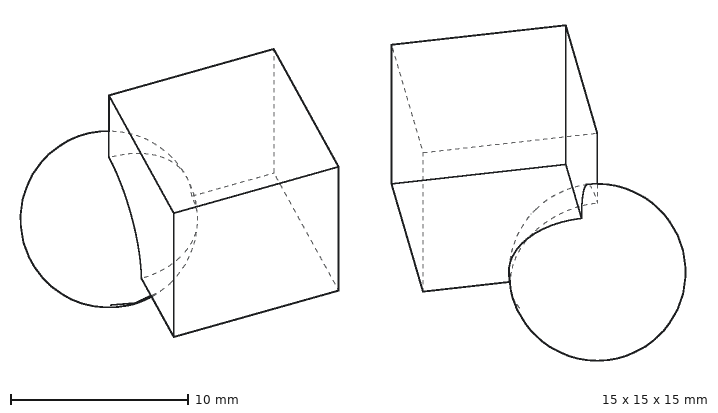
import cadquery as cq

block_side = 10.0
ball_radius = block_side / 2


def make_ball():
    """Whole ball, centred on the lowest corner of the block at the origin."""
    return cq.Workplane("XY").sphere(ball_radius)


def make_block():
    """Cube rising from the origin, with a spherical recess at that corner to seat the ball."""
    cube = cq.Workplane("XY").box(block_side, block_side, block_side, centered=False)
    return cube.cut(make_ball())


ball = make_ball()
block = make_block()

result = cq.Compound.makeCompound([block.val(), ball.val()])